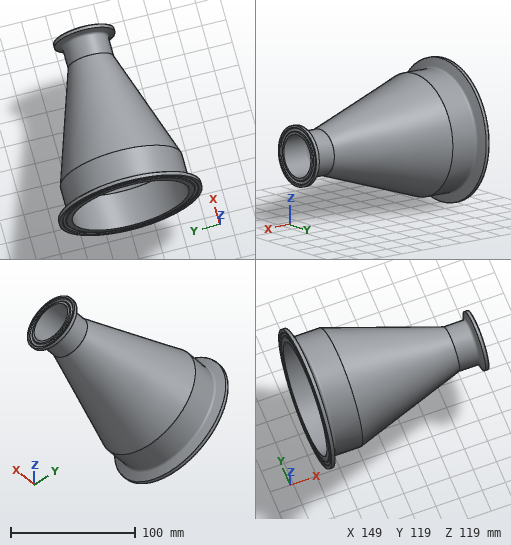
import cadquery as cq
import math

length = 149.0
large_flange_diameter = 119.0
large_tube_diameter = 101.6
large_bore_diameter = 97.6
small_flange_diameter = 50.5
small_tube_diameter = 38.1
small_bore_diameter = 35.8

cone_start = 30.1
cone_end = 126.0

rim_thickness = 3.0
back_slope = math.radians(20)
neck_fillet = 2.1

groove_mouth_width = 3.7
groove_floor_width = 2.2
groove_wall_depth = 0.7
groove_depth = 1.6
large_groove_diameter = 110.3
small_groove_diameter = 43.5


def turn(profile):
    """Revolve an (axial, radial) profile about the X axis."""
    return profile.close().revolve(360, (0, 0, 0), (1, 0, 0))


def ferrule(face_x, inward, flange_diameter, tube_diameter):
    """Solid flange whose sloping back blends into the tube; inward is +1 or -1 along X."""
    flange_radius = flange_diameter / 2
    tube_radius = tube_diameter / 2
    corner = rim_thickness + (flange_radius - tube_radius) * math.tan(back_slope)
    tangent_length = neck_fillet * math.tan((math.pi / 2 - back_slope) / 2)
    blend_end = corner + tangent_length
    blend_start = corner - tangent_length * math.sin(back_slope)
    blend_start_radius = tube_radius + tangent_length * math.cos(back_slope)
    middle_angle = (math.pi / 2 + back_slope) / 2
    blend_middle = blend_end - neck_fillet * math.cos(middle_angle)
    blend_middle_radius = tube_radius + neck_fillet * (1 - math.sin(middle_angle))

    def at(depth, radius):
        return (face_x + inward * depth, radius)

    profile = (
        cq.Workplane("XY")
        .moveTo(*at(0, 0))
        .lineTo(*at(0, flange_radius))
        .lineTo(*at(rim_thickness, flange_radius))
        .lineTo(*at(blend_start, blend_start_radius))
        .threePointArc(at(blend_middle, blend_middle_radius), at(blend_end, tube_radius))
        .lineTo(*at(blend_end, 0))
    )
    return turn(profile)


def gasket_groove(face_x, inward, diameter):
    """Ring-shaped cutter for the groove in a ferrule face."""
    radius = diameter / 2
    wall_end = face_x + inward * groove_wall_depth
    profile = (
        cq.Workplane("XY")
        .moveTo(face_x, radius + groove_mouth_width / 2)
        .lineTo(wall_end, radius + groove_floor_width / 2)
        .threePointArc(
            (face_x + inward * groove_depth, radius),
            (wall_end, radius - groove_floor_width / 2),
        )
        .lineTo(face_x, radius - groove_mouth_width / 2)
    )
    return turn(profile)


def reducer_core(large_diameter, small_diameter):
    """Solid of a large cylinder, a cone and a small cylinder over the full length."""
    profile = cq.Workplane("XY").polyline([
        (0, 0),
        (0, large_diameter / 2),
        (cone_start, large_diameter / 2),
        (cone_end, small_diameter / 2),
        (length, small_diameter / 2),
        (length, 0),
    ])
    return turn(profile)


outer = (
    reducer_core(large_tube_diameter, small_tube_diameter)
    .union(ferrule(0, 1, large_flange_diameter, large_tube_diameter))
    .union(ferrule(length, -1, small_flange_diameter, small_tube_diameter))
)
result = (
    outer
    .cut(reducer_core(large_bore_diameter, small_bore_diameter))
    .cut(gasket_groove(0, 1, large_groove_diameter))
    .cut(gasket_groove(length, -1, small_groove_diameter))
)